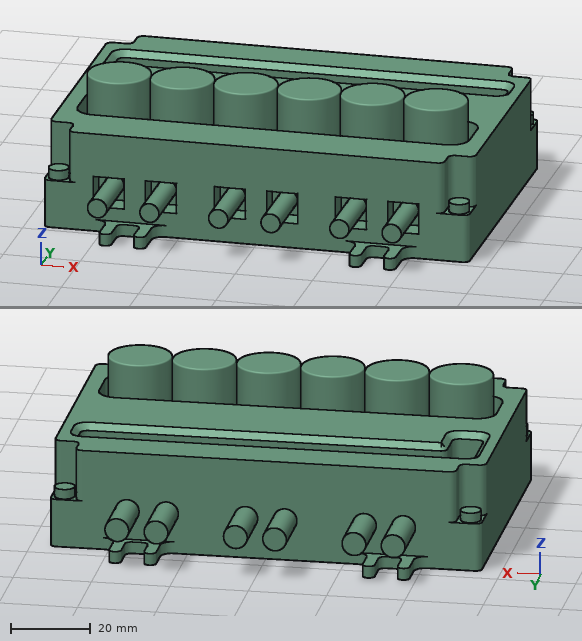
import cadquery as cq

body_length = 110.0
body_depth = 73.0
body_height = 26.0
corner_radius = 1.6

cutout_size = 6.5
cutout_floor = 12.5
cutout_radius = 1.6
screw_diameter = 5.2
screw_height = 2.5
screw_inset = 3.2

knob_count = 6
knob_diameter = 16.2
knob_pitch = 16.4
knob_y = -14.0
knob_top = 34.5
knob_edge = 0.4
recess_length = 101.4
recess_width = 18.0
recess_radius = 5.0
recess_depth = 9.0

slot_length = 104.3
slot_width = 11.2
slot_back_y = 26.0
slot_leg_reach = 21.2
slot_radius = 3.5
slot_chamfer = 1.6
slot_depth = 9.0

pin_z = 10.6
front_pin_diameter = 5.0
front_pin_reach = 12.0
front_pin_pitch = 13.5
front_pair_spacing = 31.4
back_pin_diameter = 6.0
back_pin_reach = 15.0
back_pin_pitch = 10.0
back_pair_spacing = 30.2
window_size = 8.0
window_depth = 6.0

foot_x = 32.3
foot_reach = 10.0
foot_thickness = 3.1
foot_width = 12.0
foot_flare_radius = 3.0
fork_width = 5.8
fork_root = 1.9
fork_radius = 1.6

half_length = body_length / 2
half_depth = body_depth / 2


def make_body():
    """Plain block with rounded vertical edges."""
    block = cq.Workplane("XY").box(body_length, body_depth, body_height, centered=(True, True, False))
    return block.edges("|Z").fillet(corner_radius)


def make_corner_cutter():
    """Cutter for the +X +Y corner, with a rounded inner corner and rounded lips."""
    wall_x = half_length - cutout_size
    wall_y = half_depth - cutout_size
    radius = cutout_radius
    return (
        cq.Workplane("XY", origin=(0, 0, cutout_floor))
        .moveTo(wall_x - radius, half_depth)
        .radiusArc((wall_x, half_depth - radius), radius)
        .lineTo(wall_x, wall_y + radius)
        .radiusArc((wall_x + radius, wall_y), -radius)
        .lineTo(half_length - radius, wall_y)
        .radiusArc((half_length, wall_y - radius), radius)
        .lineTo(half_length, half_depth)
        .close()
        .extrude(body_height - cutout_floor)
    )


def make_screw_head():
    """Screw head on the floor of the +X +Y corner cutout."""
    return (
        cq.Workplane("XY", origin=(half_length - screw_inset, half_depth - screw_inset, cutout_floor))
        .circle(screw_diameter / 2)
        .extrude(screw_height)
    )


def at_four_corners(shape):
    """The given +X +Y corner shape together with its mirror images at the other three corners."""
    pair = shape.union(shape.mirror("YZ"))
    return pair.union(pair.mirror("XZ"))


def make_recess_cutter():
    """Rounded recess around the row of knobs."""
    return (
        cq.Workplane("XY", origin=(0, knob_y, body_height - recess_depth))
        .rect(recess_length, recess_width)
        .extrude(recess_depth)
        .edges("|Z")
        .fillet(recess_radius)
    )


def make_knobs():
    """Row of cylinders on the recess floor with rounded top edges."""
    knob_floor = body_height - recess_depth
    return (
        cq.Workplane("XY", origin=(0, knob_y, knob_floor))
        .rarray(knob_pitch, 1.1, knob_count, 1)
        .circle(knob_diameter / 2)
        .extrude(knob_top - knob_floor)
        .faces(">Z")
        .edges()
        .fillet(knob_edge)
    )


def make_slot_cutter():
    """L-shaped slot: a tapered rim above straight walls."""
    left = -slot_length / 2
    right = slot_length / 2
    front_y = slot_back_y - slot_width
    leg_right = left + slot_width
    leg_y = slot_back_y - slot_leg_reach
    outline = (
        cq.Sketch()
        .polygon([
            (left, slot_back_y),
            (right, slot_back_y),
            (right, front_y),
            (leg_right, front_y),
            (leg_right, leg_y),
            (left, leg_y),
            (left, slot_back_y),
        ])
        .reset()
        .vertices("<X or >X or <Y")
        .fillet(slot_radius)
        .reset()
    )
    top = cq.Workplane("XY", origin=(0, 0, body_height))
    rim = top.placeSketch(outline).extrude(-slot_chamfer, taper=45)
    return rim.faces("<Z").wires().toPending().extrude(slot_chamfer - slot_depth)


def pin_positions(pitch, pair_spacing):
    """X positions of three pairs of pins centred on the body."""
    return [pair * pair_spacing + side * pitch / 2 for pair in (-1, 0, 1) for side in (-1, 1)]


def make_front_windows():
    """Square pockets that surround the front pins."""
    points = [(x, pin_z) for x in pin_positions(front_pin_pitch, front_pair_spacing)]
    return (
        cq.Workplane("XZ", origin=(0, -half_depth, 0))
        .pushPoints(points)
        .rect(window_size, window_size)
        .extrude(-window_depth)
    )


def make_front_pins():
    """Pins that start at the back of their square pockets."""
    points = [(x, pin_z) for x in pin_positions(front_pin_pitch, front_pair_spacing)]
    return (
        cq.Workplane("XZ", origin=(0, -half_depth + window_depth, 0))
        .pushPoints(points)
        .circle(front_pin_diameter / 2)
        .extrude(window_depth + front_pin_reach)
    )


def make_back_pins():
    """Pins that stand directly on the back face."""
    points = [(x, pin_z) for x in pin_positions(back_pin_pitch, back_pair_spacing)]
    return (
        cq.Workplane("XZ", origin=(0, half_depth, 0))
        .pushPoints(points)
        .circle(back_pin_diameter / 2)
        .extrude(-back_pin_reach)
    )


def make_foot():
    """Forked foot on the back side at +X, flared where it meets the body, with round prong tips."""
    outer_x = foot_width / 2
    inner_x = fork_width / 2
    tip_radius = (outer_x - inner_x) / 2
    flare_y = half_depth + foot_flare_radius
    root_y = half_depth + fork_root
    tip_y = half_depth + foot_reach - tip_radius
    return (
        cq.Workplane("XY", origin=(foot_x, 0, 0))
        .moveTo(-outer_x - foot_flare_radius, half_depth)
        .radiusArc((-outer_x, flare_y), -foot_flare_radius)
        .lineTo(-outer_x, tip_y)
        .radiusArc((-inner_x, tip_y), tip_radius)
        .lineTo(-inner_x, root_y + fork_radius)
        .radiusArc((-inner_x + fork_radius, root_y), -fork_radius)
        .lineTo(inner_x - fork_radius, root_y)
        .radiusArc((inner_x, root_y + fork_radius), -fork_radius)
        .lineTo(inner_x, tip_y)
        .radiusArc((outer_x, tip_y), tip_radius)
        .lineTo(outer_x, flare_y)
        .radiusArc((outer_x + foot_flare_radius, half_depth), -foot_flare_radius)
        .close()
        .extrude(foot_thickness)
    )


result = (
    make_body()
    .cut(at_four_corners(make_corner_cutter()))
    .cut(make_recess_cutter())
    .cut(make_slot_cutter())
    .cut(make_front_windows())
    .union(at_four_corners(make_screw_head()))
    .union(make_knobs())
    .union(make_front_pins())
    .union(make_back_pins())
    .union(at_four_corners(make_foot()))
)